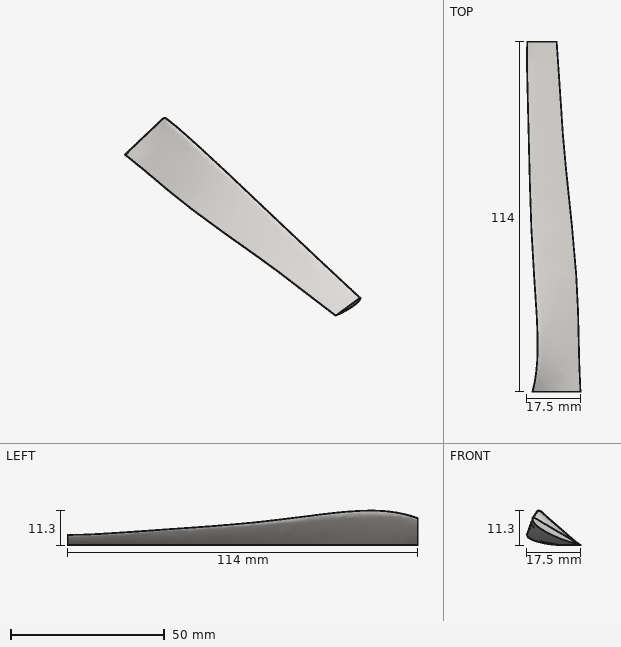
import cadquery as cq
import math


STATIONS = [
    (0.0, 2.0, 17.4, 9.1),
    (18.0, 3.8, 16.9, 11.6),
    (45.1, 2.0, 15.5, 8.7),
    (69.9, 1.0, 13.0, 6.3),
    (95.0, 0.3, 11.0, 4.5),
    (114.0, 0.1, 9.7, 3.5),
]

NOSE = (0.0, 0.03)
UPPER_FACE = [(0.03, 0.008), (0.12, 0.001), (0.3, 0.0), (0.6, 0.0)]
LOWER_FACE = [(0.025, 0.06), (0.1, 0.095), (0.3, 0.117), (0.6, 0.091), (0.8, 0.052)]
TRAILING_TIP = (1.0, 0.0)


def blade_section(span, leading_x, trailing_x, height):
    """Closed aerofoil wire, tilted so its chord climbs to the leading edge."""
    width = trailing_x - leading_x
    chord = math.hypot(width, height)
    twist = math.atan2(height, width)

    def place(point):
        along = (1 - point[0]) * chord
        depth = point[1] * chord
        x = trailing_x - along * math.cos(twist) - depth * math.sin(twist)
        z = along * math.sin(twist) - depth * math.cos(twist)
        return cq.Vector(x, span, z)

    upper_points = [TRAILING_TIP] + UPPER_FACE[::-1] + [NOSE]
    lower_points = [NOSE] + LOWER_FACE + [TRAILING_TIP]
    upper = cq.Edge.makeSpline([place(point) for point in upper_points])
    lower = cq.Edge.makeSpline([place(point) for point in lower_points])
    return cq.Wire.assembleEdges([upper, lower])


sections = [blade_section(*station) for station in STATIONS]
result = cq.Workplane(obj=cq.Solid.makeLoft(sections))